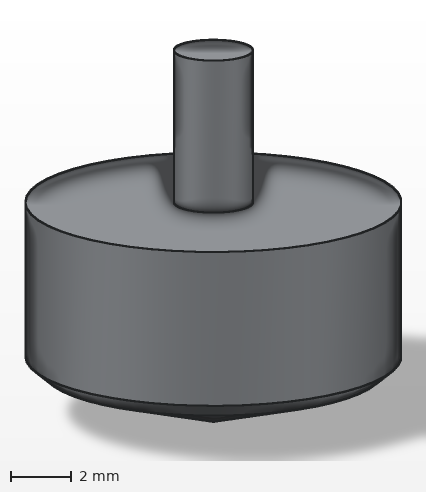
import cadquery as cq

total_height = 12.7
body_diameter = 12.4
stem_diameter = 2.6
stem_height = 5.2
chamfer_height = 0.5
chamfer_inset = 0.58
tip_height = 1.75

body_radius = body_diameter / 2
stem_radius = stem_diameter / 2
tip_radius = body_radius - chamfer_inset
chamfer_top = tip_height + chamfer_height
body_top = total_height - stem_height

profile = (
    cq.Workplane("XZ")
    .moveTo(0, 0)
    .lineTo(tip_radius, tip_height)
    .lineTo(body_radius, chamfer_top)
    .lineTo(body_radius, body_top)
    .lineTo(stem_radius, body_top)
    .lineTo(stem_radius, total_height)
    .lineTo(0, total_height)
    .close()
)

result = profile.revolve(360, (0, 0, 0), (0, 1, 0))